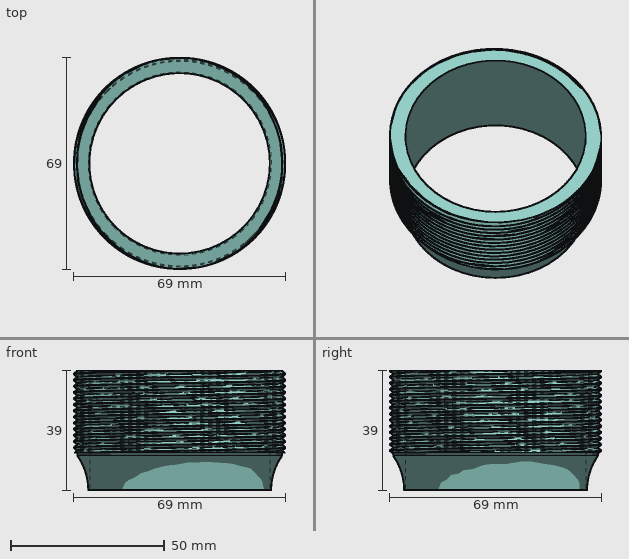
import math
import cadquery as cq

total_height = 39.0
crest_radius = 69 / 2
core_radius = 67.0 / 2
bore_radius = 58.8 / 2

neck_radius = 29.9
neck_height = 11.3
band_radius = 33.45

thread_starts = 2
thread_pitch = 2.0
thread_lead = thread_starts * thread_pitch
thread_bottom = 12.15
first_crest_height = 11.9
tooth_base_width = 1.8
tooth_crest_width = 0.2
flank_points = 8


def make_base():
    """Neck that flares out along an arc, vertical at the bottom, to a plain band."""
    flare = band_radius - neck_radius
    arc_radius = (neck_height**2 + flare**2) / (2 * flare)
    middle_height = neck_height / 2
    middle_radius = neck_radius + arc_radius - math.sqrt(arc_radius**2 - middle_height**2)
    return (
        cq.Workplane("XZ")
        .lineTo(neck_radius, 0)
        .threePointArc((middle_radius, middle_height), (band_radius, neck_height))
        .lineTo(band_radius, thread_bottom)
        .lineTo(0, thread_bottom)
        .close()
        .revolve(360, (0, 0, 0), (0, 1, 0))
    )


def polar(radius, angle):
    """Point in the cross-section, with the angle in radians."""
    return (radius * math.cos(angle), radius * math.sin(angle))


def spiral(start, end):
    """Points after the first on a flank, whose radius changes evenly with angle."""
    points = []
    for index in range(1, flank_points):
        fraction = index / (flank_points - 1)
        radius = start[0] + fraction * (end[0] - start[0])
        angle = start[1] + fraction * (end[1] - start[1])
        points.append(polar(radius, angle))
    return points


def make_thread():
    """Twist the horizontal cross-section of the thread up along its lead."""
    turn_per_height = 2 * math.pi / thread_lead
    base_half_angle = tooth_base_width / 2 * turn_per_height
    crest_half_angle = tooth_crest_width / 2 * turn_per_height
    start_angle = 2 * math.pi / thread_starts
    first_crest_angle = (thread_bottom - first_crest_height) * turn_per_height

    section = cq.Workplane("XY", origin=(0, 0, thread_bottom))
    section = section.moveTo(*polar(core_radius, first_crest_angle - base_half_angle))
    for start in range(thread_starts):
        crest = first_crest_angle + start * start_angle
        rise_start = (core_radius, crest - base_half_angle)
        rise_end = (crest_radius, crest - crest_half_angle)
        fall_start = (crest_radius, crest + crest_half_angle)
        fall_end = (core_radius, crest + base_half_angle)
        root_middle = crest + start_angle / 2
        next_rise = crest + start_angle - base_half_angle
        section = (
            section.spline(spiral(rise_start, rise_end), includeCurrent=True)
            .threePointArc(polar(crest_radius, crest), polar(*fall_start))
            .spline(spiral(fall_start, fall_end), includeCurrent=True)
            .threePointArc(polar(core_radius, root_middle), polar(core_radius, next_rise))
        )
    thread_height = total_height - thread_bottom
    return section.close().twistExtrude(thread_height, 360 * thread_height / thread_lead)


def make_bore():
    """Straight through bore."""
    return cq.Workplane("XY").circle(bore_radius).extrude(total_height)


bored_base = make_base().cut(make_bore())
bored_thread = make_thread().cut(make_bore())
result = bored_base.union(bored_thread)